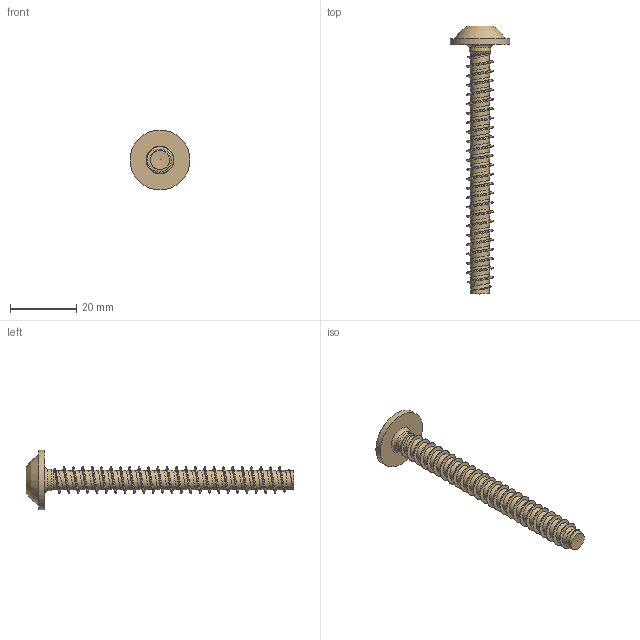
import math

import cadquery as cq


head_height = 5.6
washer_radius = 9.0
washer_thickness = 1.8
dome_base_radius = 7.5
dome_top_radius = 3.8
dome_bulge = 0.45

shank_length = 75.0
core_radius = 2.8
neck_radius = 3.2
neck_length = 1.95
neck_taper_length = 0.6
neck_fillet = 1.0
tip_recess_depth = 0.2

thread_radius = 4.0
pitch = 2.82
crest_half_width = 0.06
flank_angle = 10.0
base_height = 0.2
base_reach = 1.6
root_burial = 0.1
thread_start = 0.92
thread_start_angle = 180.0
thread_end_gap = 0.5
runout_turns = 1.25
runout_height_ratio = 0.08
points_per_turn = 16

root_radius = core_radius - root_burial
base_radius = core_radius + base_height
shoulder_half_width = crest_half_width + (thread_radius - base_radius) * math.tan(math.radians(flank_angle))
base_slope = (base_reach - shoulder_half_width) / base_height
root_reach = base_reach + base_slope * root_burial
head_side_reach = shoulder_half_width + base_height

thread_turns = (shank_length - thread_start - thread_end_gap) / pitch

thread_section = [
    (root_radius, -head_side_reach),
    (base_radius, -shoulder_half_width),
    (thread_radius, -crest_half_width),
    (thread_radius, crest_half_width),
    (base_radius, shoulder_half_width),
    (root_radius, root_reach),
]


def make_body():
    """Head, neck and core as one revolved profile."""
    chord_r = dome_base_radius - dome_top_radius
    chord_z = head_height - washer_thickness
    chord = math.hypot(chord_r, chord_z)
    dome_mid = (
        (dome_base_radius + dome_top_radius) / 2 + dome_bulge * chord_z / chord,
        -(head_height + washer_thickness) / 2 - dome_bulge * chord_r / chord,
    )
    fillet_mid = neck_fillet * (1 - math.sqrt(0.5))
    profile = (
        cq.Workplane("XZ")
        .moveTo(0, -head_height)
        .lineTo(dome_top_radius, -head_height)
        .threePointArc(dome_mid, (dome_base_radius, -washer_thickness))
        .lineTo(washer_radius, -washer_thickness)
        .lineTo(washer_radius, 0)
        .lineTo(neck_radius + neck_fillet, 0)
        .threePointArc((neck_radius + fillet_mid, fillet_mid), (neck_radius, neck_fillet))
        .lineTo(neck_radius, neck_length)
        .lineTo(core_radius, neck_length + neck_taper_length)
        .lineTo(core_radius, shank_length)
        .lineTo(0, shank_length - tip_recess_depth)
        .close()
    )
    return profile.revolve(360, (0, 0, 0), (0, 1, 0)).val()


def thread_point(corner, turn, ratio):
    """Position of a section corner after some turns, with the section scaled by ratio."""
    radius, offset = corner
    scaled_radius = root_radius + (radius - root_radius) * ratio
    angle = math.radians(thread_start_angle) + 2 * math.pi * turn
    return cq.Vector(
        scaled_radius * math.cos(angle),
        scaled_radius * math.sin(angle),
        thread_start + pitch * turn + offset * ratio,
    )


def thread_edge(corner, first_turn, last_turn, first_ratio, last_ratio):
    """Path of one section corner along a stretch of thread."""
    turns = last_turn - first_turn
    steps = math.ceil(turns * points_per_turn)
    points = []
    for step in range(steps + 1):
        share = step / steps
        ratio = first_ratio + (last_ratio - first_ratio) * share
        points.append(thread_point(corner, first_turn + turns * share, ratio))
    return cq.Edge.makeSpline(points)


def thread_stretch(first_turn, last_turn, first_ratio, last_ratio):
    """Solid stretch of thread whose section size changes evenly from one end to the other."""
    span = (first_turn, last_turn, first_ratio, last_ratio)
    edges = [thread_edge(corner, *span) for corner in thread_section]
    faces = [cq.Face.makeRuledSurface(edges[i - 1], edges[i]) for i in range(len(edges))]
    for turn, ratio in ((first_turn, first_ratio), (last_turn, last_ratio)):
        corners = [thread_point(corner, turn, ratio) for corner in thread_section]
        faces.append(cq.Face.makeFromWires(cq.Wire.makePolygon(corners, close=True)))
    return cq.Solid.makeSolid(cq.Shell.makeShell(faces))


def make_thread():
    """Run-in, full-height and run-out stretches of the thread."""
    full_end = thread_turns - runout_turns
    return [
        thread_stretch(0, runout_turns, runout_height_ratio, 1),
        thread_stretch(runout_turns, full_end, 1, 1),
        thread_stretch(full_end, thread_turns, 1, runout_height_ratio),
    ]


screw = make_body().fuse(*make_thread()).Solids()[0]
result = cq.Workplane(obj=screw).rotate((0, 0, 0), (1, 0, 0), 90)